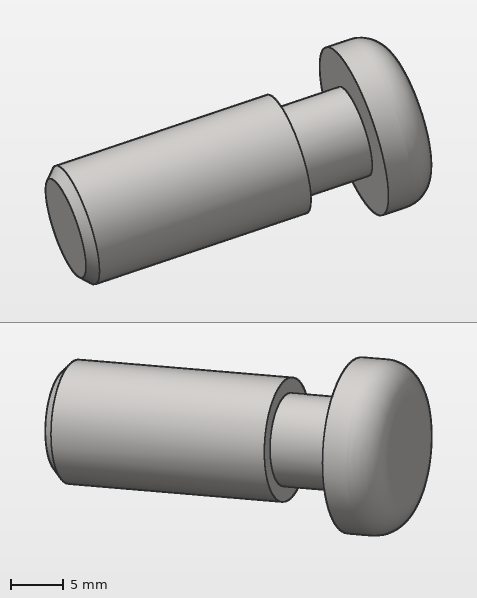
import cadquery as cq

total_length = 35.5
head_diameter = 17.0
head_thickness = 5.5
head_round = 3.0
neck_diameter = 9.0
neck_length = 7.0
shank_diameter = 12.0
tip_chamfer = 1.0

shank_length = total_length - head_thickness - neck_length


def cylinder_along_y(diameter, start, length):
    """Solid cylinder on the Y axis, running from start towards +Y."""
    base = cq.Workplane("XZ", origin=(0, start, 0))
    return base.circle(diameter / 2).extrude(-length)


shank = cylinder_along_y(shank_diameter, 0, shank_length)
shank = shank.faces("<Y").edges().chamfer(tip_chamfer)

neck = cylinder_along_y(neck_diameter, shank_length, neck_length)

head = cylinder_along_y(head_diameter, shank_length + neck_length, head_thickness)
head = head.faces(">Y").edges().fillet(head_round)

result = shank.union(neck).union(head)